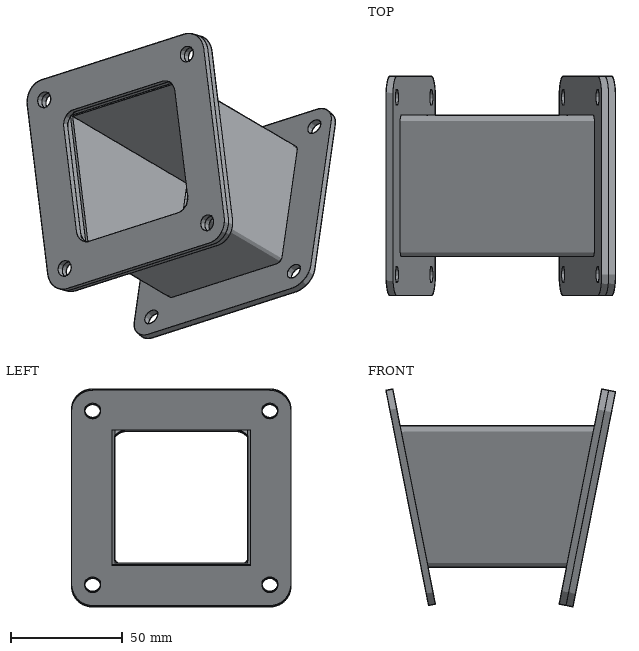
import cadquery as cq
import math

tube_width = 63.5
tube_wall = 2.0
tube_corner_radius = 2.9
tube_axis_length = 74.5

end_tilt = 11.2
plate_width = 98.4
plate_thickness = 3.2
plate_corner_radius = 9.5
bolt_hole_diameter = 7.1
bolt_spacing = plate_width - 2 * plate_corner_radius
opening_width = 61.9
cover_opening_radius = 6.4


def end_plane(side, stand_off=0):
    """Plane of a tube end, pushed outwards by stand_off; side is -1 for left and +1 for right."""
    tilt = math.radians(end_tilt)
    normal = cq.Vector(side * math.cos(tilt), 0, -math.sin(tilt))
    end_centre = cq.Vector(side * tube_axis_length / 2, 0, 0)
    return cq.Plane(origin=end_centre + normal * stand_off, xDir=(0, 1, 0), normal=normal)


def square_prism(plane, width, depth, corner_radius=0):
    """Square prism on a plane, with its four long edges rounded if a radius is given."""
    sketch = cq.Sketch().rect(width, width)
    if corner_radius:
        sketch = sketch.vertices().fillet(corner_radius)
    return cq.Workplane(plane).placeSketch(sketch).extrude(depth)


def make_plate(plane, opening_radius=0):
    """Rounded square plate with a central opening and a bolt hole near each corner."""
    plate = square_prism(plane, plate_width, plate_thickness, plate_corner_radius)
    opening = square_prism(plane, opening_width, plate_thickness, opening_radius)
    bolt_holes = (
        cq.Workplane(plane)
        .rect(bolt_spacing, bolt_spacing, forConstruction=True)
        .vertices()
        .circle(bolt_hole_diameter / 2)
        .extrude(plate_thickness)
    )
    return plate.cut(opening).cut(bolt_holes)


def make_tube():
    """Square tube cut off at the two tilted end planes."""
    stock_length = tube_axis_length + tube_width
    stock_plane = cq.Plane(origin=(-stock_length / 2, 0, 0), xDir=(0, 1, 0), normal=(1, 0, 0))
    outside = square_prism(stock_plane, tube_width, stock_length, tube_corner_radius)
    bore = square_prism(stock_plane, tube_width - 2 * tube_wall, stock_length)
    tube = outside.cut(bore)
    for side in (-1, 1):
        tube = tube.cut(square_prism(end_plane(side), 2 * tube_width, stock_length))
    return tube


tube = make_tube()
left_flange = make_plate(end_plane(-1))
right_flange = make_plate(end_plane(1))
right_cover = make_plate(end_plane(1, plate_thickness), cover_opening_radius)

result = cq.Compound.makeCompound(
    [tube.val(), left_flange.val(), right_flange.val(), right_cover.val()]
)